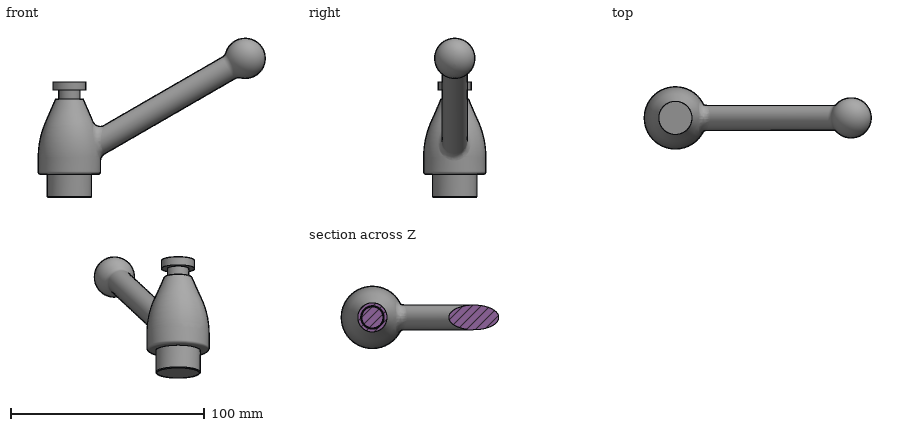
import cadquery as cq
import math

length = 117.5
height = 82.5

base_diameter = 23.0
base_height = 12.0
base_chamfer = 0.5

hub_diameter = 32.3
hub_height = 39.0
hub_arc_height = 8.8
hub_arc_radius = 45.8
hub_top_radius = 7.2
hub_taper_angle = 23.7
hub_bottom_fillet = 1.4
hub_top_fillet = 0.4
bore_diameter = 11.9
bore_depth = 2.4

neck_diameter = 11.2
neck_height = 4.6
button_diameter = 17.2
button_height = 4.3

arm_diameter = 13.0
arm_angle = 30
arm_fillet = 4.0
ball_fillet = 4.0
ball_radius = 10.5

hub_radius = hub_diameter / 2
hub_top = base_height + hub_height
ball_x = length - hub_radius - ball_radius
ball_z = height - ball_radius
arm_slope = math.radians(arm_angle)
arm_length = ball_x / math.cos(arm_slope)


def cylinder(diameter, bottom, tall):
    """Upright cylinder on the hub axis."""
    return cq.Workplane("XY").workplane(offset=bottom).circle(diameter / 2).extrude(tall)


def hub_arc_point(angle):
    """Point (radius, height) on the hub arc, which is vertical at angle zero."""
    turn = math.radians(angle)
    return (
        hub_radius - hub_arc_radius * (1 - math.cos(turn)),
        base_height + hub_arc_height + hub_arc_radius * math.sin(turn),
    )


def make_hub():
    return (
        cq.Workplane("XZ")
        .moveTo(0, base_height)
        .lineTo(hub_radius, base_height)
        .lineTo(*hub_arc_point(0))
        .threePointArc(hub_arc_point(hub_taper_angle / 2), hub_arc_point(hub_taper_angle))
        .lineTo(hub_top_radius, hub_top)
        .lineTo(0, hub_top)
        .close()
        .revolve(360, (0, 0), (0, 1))
        .rotate((0, 0, 0), (0, 0, 1), 180)
        .faces("<Z")
        .edges()
        .fillet(hub_bottom_fillet)
        .faces(">Z")
        .edges()
        .fillet(hub_top_fillet)
    )


def make_arm():
    """Rod, concave neck fillet and ball turned about one axis, then tilted about the ball centre."""
    rod_radius = arm_diameter / 2
    fillet_center_x = rod_radius + ball_fillet
    fillet_center_y = -math.sqrt((ball_radius + ball_fillet) ** 2 - fillet_center_x**2)
    contact_ratio = ball_radius / (ball_radius + ball_fillet)
    contact = (fillet_center_x * contact_ratio, fillet_center_y * contact_ratio)
    contact_angle = math.atan2(contact[1] - fillet_center_y, contact[0] - fillet_center_x)
    middle_angle = (contact_angle + math.pi) / 2
    fillet_middle = (
        fillet_center_x + ball_fillet * math.cos(middle_angle),
        fillet_center_y + ball_fillet * math.sin(middle_angle),
    )
    return (
        cq.Workplane("XZ")
        .moveTo(0, -arm_length)
        .lineTo(rod_radius, -arm_length)
        .lineTo(rod_radius, fillet_center_y)
        .threePointArc(fillet_middle, contact)
        .threePointArc((ball_radius, 0), (0, ball_radius))
        .close()
        .revolve(360, (0, 0), (0, 1))
        .rotate((0, 0, 0), (0, 1, 0), 90 - arm_angle)
        .translate((ball_x, 0, ball_z))
    )


lever = make_hub().union(make_arm())
root_region = cq.selectors.BoxSelector(
    (hub_radius / 2, -arm_diameter, base_height + hub_arc_height / 2),
    (hub_radius + arm_diameter, arm_diameter, hub_top - bore_depth),
)
lever = lever.edges(root_region).edges("%BSPLINE").fillet(arm_fillet)

bore = cylinder(bore_diameter, hub_top - bore_depth, bore_depth)
base = cylinder(base_diameter, 0, base_height).faces("<Z").chamfer(base_chamfer)
neck = cylinder(neck_diameter, hub_top - bore_depth, neck_height + bore_depth)
button = cylinder(button_diameter, hub_top + neck_height, button_height)

result = lever.cut(bore).union(base).union(neck).union(button)